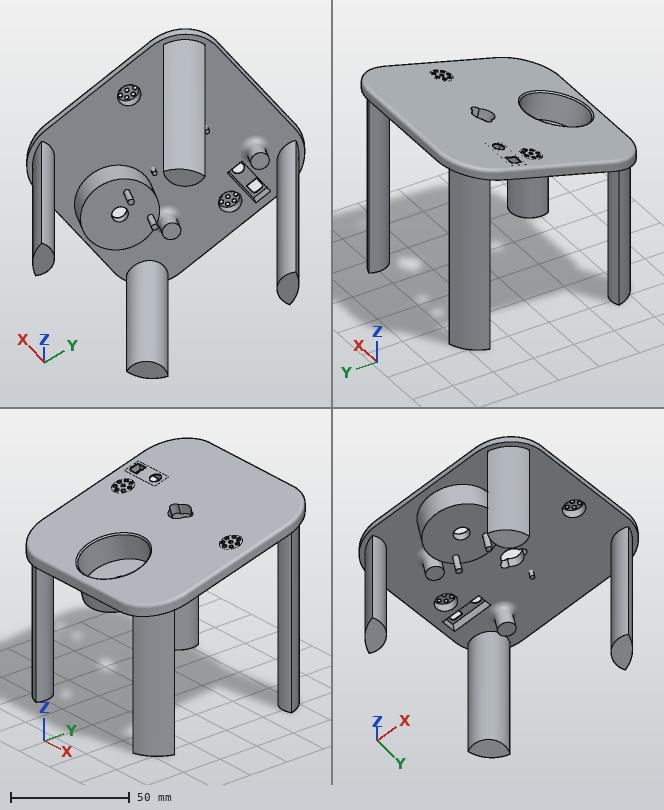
import cadquery as cq
import math

PLATE_SIDE = 95.0
CORNER_RADIUS = 20.0
PLATE_HEIGHT = 5.0
TILT = 15.0
EDGE_FILLET = 1.5
TOTAL_HEIGHT = 95.2

LEG_SPACING = 80.0
LEG_RADIUS = 9.2
LEG_INSET = 2.5

CUP_Y = -29.4
CUP_OUTER_DIAMETER = 34.0
CUP_BORE_DIAMETER = 31.2
CUP_RIM_CHAMFER = 0.7
CUP_DEPTH = 17.0
CUP_BORE_DEPTH = 13.3
CUP_HOLE_DIAMETER = 7.1

CUP_PIN_DIAMETER = 2.8
CUP_PIN_XS = (-10.4, 6.3)
CUP_PIN_Y = -20.8
CUP_PIN_DEPTH = 25.6

BOSS_DIAMETER = 8.0
BOSS_X = -23.1
BOSS_YS = (-18.75, 29.3)
BOSS_DEPTH = 15.0
BOSS_FLARE_RADIUS = 2.95

SMALL_PIN_DIAMETER = 2.0
SMALL_PIN_YS = (-8.2, 20.4)
SMALL_PIN_DEPTH = 8.2
SMALL_PIN_FLARE_RADIUS = 0.3

CENTRE_HOLE_Y = 7.9
CENTRE_HOLE_DIAMETER = 10.0
WING_DIAMETER = 4.0
WING_X = 4.7
WING_RISE = 0.9

SKIN_THICKNESS = 0.5

GRILLE_X = 35.5
GRILLE_Y = 6.3
GRILLE_HOLE_DIAMETER = 1.8
GRILLE_RING_RADIUS = 3.5
GRILLE_RING_COUNT = 7
SPEAKER_POCKET_DIAMETER = 10.0

SIDE_HOLES_Y = 17.9
ROUND_HOLE_X = -27.7
ROUND_HOLE_DIAMETER = 5.2
SQUARE_HOLE_X = -39.7
SQUARE_HOLE_SIDE = 5.2
SQUARE_HOLE_FILLET = 1.2
SIDE_POCKET_LENGTH = 20.0
SIDE_POCKET_WIDTH = 8.0

tilt_angle = math.radians(TILT)
slope = math.tan(tilt_angle)
plate_thickness = PLATE_HEIGHT * math.cos(tilt_angle)
fillet_centre_y = PLATE_SIDE / 2 - EDGE_FILLET
crest_loss = EDGE_FILLET * (1 / math.cos(tilt_angle) - 1)
top_centre_z = TOTAL_HEIGHT + crest_loss - fillet_centre_y * slope


def face_workplane(depth=0.0):
    """Workplane parallel to the plate's top face, the given depth below it at the plate centre."""
    plane = cq.Plane(
        origin=(0, 0, top_centre_z),
        xDir=(1, 0, 0),
        normal=(0, -math.sin(tilt_angle), math.cos(tilt_angle)),
    )
    return cq.Workplane(plane).workplane(offset=-depth)


def round_post(points, diameter, start_depth, end_depth):
    """Cylinders square to the plate, running between two depths below its top face."""
    post = face_workplane(start_depth).pushPoints(points)
    return post.circle(diameter / 2).extrude(start_depth - end_depth)


def outline_prism(inset, height):
    """Vertical prism on the plate outline moved inwards."""
    side = PLATE_SIDE - 2 * inset
    return cq.Workplane().rect(side, side).extrude(height).edges("|Z").fillet(CORNER_RADIUS - inset)


def tilted_slab(top_depth, bottom_depth):
    """Oversized slab between two planes parallel to the plate's top face."""
    return face_workplane(top_depth).rect(2 * PLATE_SIDE, 2 * PLATE_SIDE).extrude(top_depth - bottom_depth)


def make_plate():
    prism = outline_prism(0, 2 * TOTAL_HEIGHT)
    plate = prism.intersect(tilted_slab(0, plate_thickness))
    top_face = plate.faces(cq.selectors.DirectionNthSelector(face_workplane().plane.zDir, -1))
    return top_face.edges().fillet(EDGE_FILLET)


def make_legs():
    posts = cq.Workplane().rect(LEG_SPACING, LEG_SPACING, forConstruction=True).vertices()
    posts = posts.circle(LEG_RADIUS).extrude(TOTAL_HEIGHT)
    legs = posts.intersect(outline_prism(LEG_INSET, TOTAL_HEIGHT))
    return legs.cut(tilted_slab(-TOTAL_HEIGHT, plate_thickness / 2))


def flared_post(x, y, diameter, flare, depth):
    """Round post whose top flares into the underside of the plate with a concave arc."""
    radius = diameter / 2
    arc_reach = flare * (1 - math.sqrt(0.5))
    arc_middle = (radius + arc_reach, -plate_thickness - arc_reach)
    profile = (
        face_workplane()
        .center(x, y)
        .transformed(rotate=(90, 0, 0))
        .moveTo(0, -plate_thickness / 2)
        .lineTo(radius + flare, -plate_thickness / 2)
        .lineTo(radius + flare, -plate_thickness)
        .threePointArc(arc_middle, (radius, -plate_thickness - flare))
        .lineTo(radius, -depth)
        .lineTo(0, -depth)
        .close()
    )
    return profile.revolve(360, (0, 0), (0, 1))


def make_cup_pins():
    points = [(x, CUP_PIN_Y) for x in CUP_PIN_XS]
    start_depth = (CUP_BORE_DEPTH + CUP_DEPTH) / 2
    return round_post(points, CUP_PIN_DIAMETER, start_depth, CUP_PIN_DEPTH)


def cup_cutter():
    centre = [(0, CUP_Y)]
    rim_radius = CUP_BORE_DIAMETER / 2 + CUP_RIM_CHAMFER
    bore = round_post(centre, CUP_BORE_DIAMETER, 0, CUP_BORE_DEPTH)
    hole = round_post(centre, CUP_HOLE_DIAMETER, 0, 2 * CUP_DEPTH)
    rim = face_workplane().center(0, CUP_Y).circle(rim_radius).extrude(-CUP_RIM_CHAMFER, taper=45)
    return bore.union(hole).union(rim)


def centre_cutter():
    wings = [(side * WING_X, CENTRE_HOLE_Y + WING_RISE) for side in (-1, 1)]
    hole = round_post([(0, CENTRE_HOLE_Y)], CENTRE_HOLE_DIAMETER, 0, 2 * plate_thickness)
    return hole.union(round_post(wings, WING_DIAMETER, 0, 2 * plate_thickness))


def grille_cutter(centre_x):
    points = [(centre_x, GRILLE_Y)]
    for i in range(GRILLE_RING_COUNT):
        angle = 2 * math.pi * i / GRILLE_RING_COUNT - math.pi / 2
        x = centre_x + GRILLE_RING_RADIUS * math.cos(angle)
        y = GRILLE_Y + GRILLE_RING_RADIUS * math.sin(angle)
        points.append((x, y))
    holes = round_post(points, GRILLE_HOLE_DIAMETER, 0, plate_thickness)
    pocket = round_post(points[:1], SPEAKER_POCKET_DIAMETER, SKIN_THICKNESS, 2 * plate_thickness)
    return holes.union(pocket)


def side_hole_cutter():
    round_hole = round_post([(ROUND_HOLE_X, SIDE_HOLES_Y)], ROUND_HOLE_DIAMETER, 0, plate_thickness)
    square_hole = (
        face_workplane()
        .center(SQUARE_HOLE_X, SIDE_HOLES_Y)
        .rect(SQUARE_HOLE_SIDE, SQUARE_HOLE_SIDE)
        .extrude(-plate_thickness)
        .faces("<X")
        .edges(cq.selectors.ParallelDirSelector(face_workplane().plane.zDir))
        .fillet(SQUARE_HOLE_FILLET)
    )
    pocket = (
        face_workplane(SKIN_THICKNESS)
        .center((ROUND_HOLE_X + SQUARE_HOLE_X) / 2, SIDE_HOLES_Y)
        .rect(SIDE_POCKET_LENGTH, SIDE_POCKET_WIDTH)
        .extrude(-plate_thickness)
    )
    return round_hole.union(square_hole).union(pocket)


cup = round_post([(0, CUP_Y)], CUP_OUTER_DIAMETER, plate_thickness / 2, CUP_DEPTH)
body = make_plate().union(make_legs()).union(cup)
for boss_y in BOSS_YS:
    body = body.union(flared_post(BOSS_X, boss_y, BOSS_DIAMETER, BOSS_FLARE_RADIUS, BOSS_DEPTH))
for pin_y in SMALL_PIN_YS:
    pin = flared_post(0, pin_y, SMALL_PIN_DIAMETER, SMALL_PIN_FLARE_RADIUS, SMALL_PIN_DEPTH)
    body = body.union(pin)
body = body.cut(cup_cutter()).cut(centre_cutter()).cut(side_hole_cutter())
for grille_x in (-GRILLE_X, GRILLE_X):
    body = body.cut(grille_cutter(grille_x))
result = body.union(make_cup_pins())